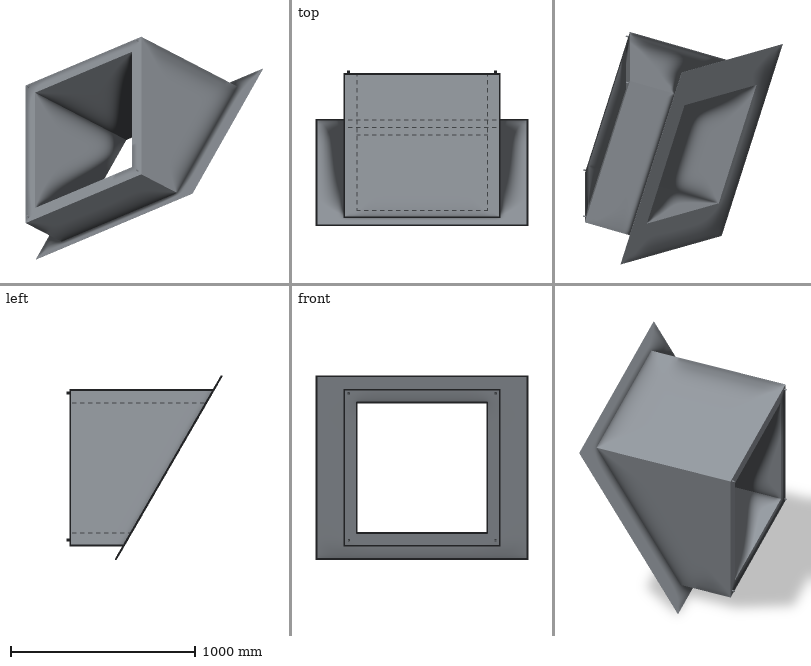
import cadquery as cq
import math

plate_side = 1145.0
plate_thickness = 1.0
plate_angle = math.radians(60)

duct_side = 844.0
wall = 69.0
opening_side = duct_side - 2 * wall

peg_length = 15.0
peg_diameter = 8.0
peg_spacing = 797.0
peg_center_height = 7.0

total_depth = 836.0

half_rise = plate_side / 2 * math.sin(plate_angle)
half_run = plate_side / 2 * math.cos(plate_angle)
front_y = -half_run
rear_y = front_y + total_depth - peg_length


def slope_y(z):
    """Y of the plate's front face at height z."""
    return -z / math.tan(plate_angle)


def extrude_across(points, width):
    """Extrude a (Y, Z) outline symmetrically across X."""
    return cq.Workplane("YZ").polyline(points).close().extrude(width / 2, both=True)


def make_plate():
    normal_y = plate_thickness * math.sin(plate_angle)
    normal_z = plate_thickness * math.cos(plate_angle)
    return extrude_across(
        [
            (-half_run, half_rise),
            (half_run, -half_rise),
            (half_run + normal_y, -half_rise + normal_z),
            (-half_run + normal_y, half_rise + normal_z),
        ],
        plate_side,
    )


def make_duct_block(side):
    """Solid square block from the sloping front face to the rear face."""
    half = side / 2
    return extrude_across(
        [
            (slope_y(half), half),
            (rear_y, half),
            (rear_y, -half),
            (slope_y(-half), -half),
        ],
        side,
    )


def make_pegs():
    return (
        cq.Workplane("XZ", origin=(0, rear_y, peg_center_height))
        .rect(peg_spacing, peg_spacing, forConstruction=True)
        .vertices()
        .circle(peg_diameter / 2)
        .extrude(-peg_length)
    )


body = make_plate().union(make_duct_block(duct_side))
body = body.cut(make_duct_block(opening_side))
result = body.union(make_pegs())